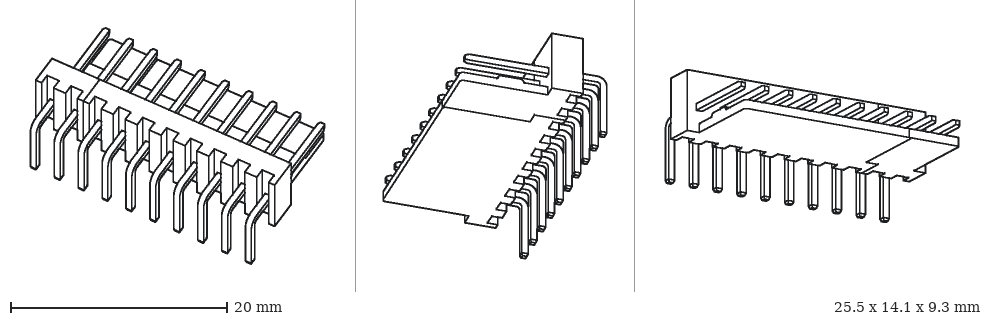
import cadquery as cq
import math


OVERALL_DEPTH = 14.1
OVERALL_HEIGHT = 9.3

PITCH = 2.55
LEFT_PINS = 2
RIGHT_PINS = 8
PIN_COUNT = LEFT_PINS + RIGHT_PINS

BLOCK_DEPTH = 3.02
BLOCK_HEIGHT = 5.9
SLOT_WIDTH = PITCH / 2
SLOT_DEPTH = 1.02

TONGUE_LENGTH = 8.43
TONGUE_THICKNESS = 0.86
TONGUE_CORNER_RADIUS = 0.3
RIDGE_HEIGHT = 0.33
RIDGE_BASE_START = 2.24
RIDGE_TOP_START = 2.5
RIDGE_TOP_END = 4.67
RIDGE_BASE_END = 4.9

PIN_SIZE = 0.64
PIN_AXIS_Z = 2.41
PIN_FRONT_Y = 8.05
PIN_BACK_Y = TONGUE_LENGTH - OVERALL_DEPTH
PIN_BOTTOM_Z = BLOCK_HEIGHT - OVERALL_HEIGHT
BEND_INNER_RADIUS = 0.33
BEND_OUTER_RADIUS = BEND_INNER_RADIUS + PIN_SIZE
TIP_INSET = 0.1
MATING_TIP_LENGTH = 0.33
SOLDER_TIP_LENGTH = 0.25


def pin_x(index):
    """X of a pin axis, the row being centred on X = 0."""
    return (index - (PIN_COUNT - 1) / 2) * PITCH


def corner_middle(corner_x, side):
    """Middle of the round tongue corner on the end at corner_x; side is -1 for left, 1 for right."""
    inset = TONGUE_CORNER_RADIUS * (1 - math.sqrt(0.5))
    return corner_x - side * inset, TONGUE_LENGTH - inset


def make_block(first, count):
    """Block around `count` pins, with a full-height slot behind each of them."""
    block = (
        cq.Workplane("XY")
        .box(count * PITCH, BLOCK_DEPTH, BLOCK_HEIGHT, centered=(False, False, False))
        .translate((pin_x(first) - PITCH / 2, -BLOCK_DEPTH, 0))
    )
    slots = (
        cq.Workplane("XY")
        .pushPoints([(pin_x(i), SLOT_DEPTH / 2 - BLOCK_DEPTH) for i in range(first, first + count)])
        .rect(SLOT_WIDTH, SLOT_DEPTH)
        .extrude(BLOCK_HEIGHT)
    )
    return block.cut(slots)


def tongue_side_profile():
    """Side profile of the tongue with its raised locking ridge, drawn as (Y, Z)."""
    ridge_top = TONGUE_THICKNESS + RIDGE_HEIGHT
    return cq.Workplane("YZ").polyline([
        (0, 0),
        (TONGUE_LENGTH, 0),
        (TONGUE_LENGTH, TONGUE_THICKNESS),
        (RIDGE_BASE_END, TONGUE_THICKNESS),
        (RIDGE_TOP_END, ridge_top),
        (RIDGE_TOP_START, ridge_top),
        (RIDGE_BASE_START, TONGUE_THICKNESS),
        (0, TONGUE_THICKNESS),
    ]).close()


def ridged_bar(plan, start_x, end_x):
    """Ridged tongue strip from start_x to end_x, trimmed to a plan outline."""
    bar = tongue_side_profile().extrude(end_x - start_x).translate((start_x, 0, 0))
    return bar.intersect(plan.extrude(TONGUE_THICKNESS + RIDGE_HEIGHT))


def make_right_tongue():
    """Tongue of the 8-way section, rounded at both free corners."""
    left = pin_x(LEFT_PINS)
    right = pin_x(PIN_COUNT - 1)
    shoulder = TONGUE_LENGTH - TONGUE_CORNER_RADIUS
    plan = (
        cq.Workplane("XY")
        .moveTo(left, 0)
        .lineTo(left, shoulder)
        .threePointArc(corner_middle(left, -1), (left + TONGUE_CORNER_RADIUS, TONGUE_LENGTH))
        .lineTo(right - TONGUE_CORNER_RADIUS, TONGUE_LENGTH)
        .threePointArc(corner_middle(right, 1), (right, shoulder))
        .lineTo(right, 0)
        .close()
    )
    return ridged_bar(plan, left, right)


def make_left_tongue():
    """Tongue of the 2-way section; its right end hugs the round corner of the 8-way tongue."""
    left = pin_x(0)
    joint = pin_x(LEFT_PINS)
    shoulder = TONGUE_LENGTH - TONGUE_CORNER_RADIUS
    plan = (
        cq.Workplane("XY")
        .moveTo(left, 0)
        .lineTo(left, shoulder)
        .threePointArc(corner_middle(left, -1), (left + TONGUE_CORNER_RADIUS, TONGUE_LENGTH))
        .lineTo(joint + TONGUE_CORNER_RADIUS, TONGUE_LENGTH)
        .threePointArc(corner_middle(joint, -1), (joint, shoulder))
        .lineTo(joint, 0)
        .close()
    )
    return ridged_bar(plan, left, joint + TONGUE_CORNER_RADIUS)


def make_tip(plane, length):
    """Tapered square pin tip growing from the origin of a plane along its normal."""
    end_size = PIN_SIZE - 2 * TIP_INSET
    return (
        cq.Workplane(plane)
        .rect(PIN_SIZE, PIN_SIZE)
        .workplane(offset=length)
        .rect(end_size, end_size)
        .loft(combine=True)
    )


def make_pin(x):
    """Square pin through the block, bent down behind it, with both tips tapered."""
    top = PIN_AXIS_Z + PIN_SIZE / 2
    underside = PIN_AXIS_Z - PIN_SIZE / 2
    leg_front = PIN_BACK_Y + PIN_SIZE
    mating_end = PIN_FRONT_Y - MATING_TIP_LENGTH
    solder_end = PIN_BOTTOM_Z + SOLDER_TIP_LENGTH
    bend_y = PIN_BACK_Y + BEND_OUTER_RADIUS
    bend_z = top - BEND_OUTER_RADIUS
    diagonal = math.sqrt(0.5)

    bent_bar = (
        cq.Workplane("YZ", origin=(x, 0, 0))
        .moveTo(mating_end, top)
        .lineTo(bend_y, top)
        .threePointArc(
            (bend_y - BEND_OUTER_RADIUS * diagonal, bend_z + BEND_OUTER_RADIUS * diagonal),
            (PIN_BACK_Y, bend_z),
        )
        .lineTo(PIN_BACK_Y, solder_end)
        .lineTo(leg_front, solder_end)
        .lineTo(leg_front, bend_z)
        .threePointArc(
            (bend_y - BEND_INNER_RADIUS * diagonal, bend_z + BEND_INNER_RADIUS * diagonal),
            (bend_y, underside),
        )
        .lineTo(mating_end, underside)
        .close()
        .extrude(PIN_SIZE / 2, both=True)
    )
    mating_plane = cq.Plane(origin=(x, mating_end, PIN_AXIS_Z), xDir=(1, 0, 0), normal=(0, 1, 0))
    leg_axis_y = PIN_BACK_Y + PIN_SIZE / 2
    solder_plane = cq.Plane(origin=(x, leg_axis_y, solder_end), xDir=(1, 0, 0), normal=(0, 0, -1))
    mating_tip = make_tip(mating_plane, MATING_TIP_LENGTH)
    solder_tip = make_tip(solder_plane, SOLDER_TIP_LENGTH)
    return bent_bar.union(mating_tip).union(solder_tip)


def make_section(first, count, tongue):
    """One body of the header: block, tongue and its pins."""
    section = make_block(first, count).union(tongue)
    for index in range(first, first + count):
        section = section.union(make_pin(pin_x(index)))
    return section


left_section = make_section(0, LEFT_PINS, make_left_tongue())
right_section = make_section(LEFT_PINS, RIGHT_PINS, make_right_tongue())

result = cq.Compound.makeCompound([left_section.val(), right_section.val()])